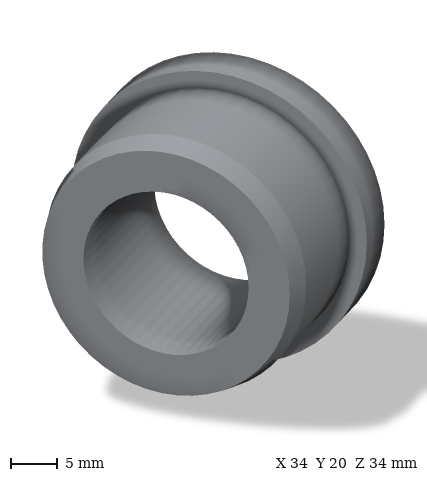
import cadquery as cq
import math

flange_diameter = 34.0
flange_thickness = 5.0
total_length = 20.0
body_diameter = 30.0
bore_diameter = 19.0

taper_length = 2.8
taper_angle = 15.0
taper_depth = taper_length * math.tan(math.radians(taper_angle))

flange_radius = flange_diameter / 2
body_radius = body_diameter / 2
bore_radius = bore_diameter / 2
flange_start = total_length - flange_thickness

half_section = (
    cq.Workplane("XY")
    .moveTo(bore_radius, 0)
    .lineTo(body_radius - taper_depth, 0)
    .lineTo(body_radius, taper_length)
    .lineTo(body_radius, flange_start)
    .lineTo(flange_radius, flange_start)
    .lineTo(flange_radius, total_length)
    .lineTo(bore_radius, total_length)
    .close()
)

result = half_section.revolve(360, (0, 0, 0), (0, 1, 0))